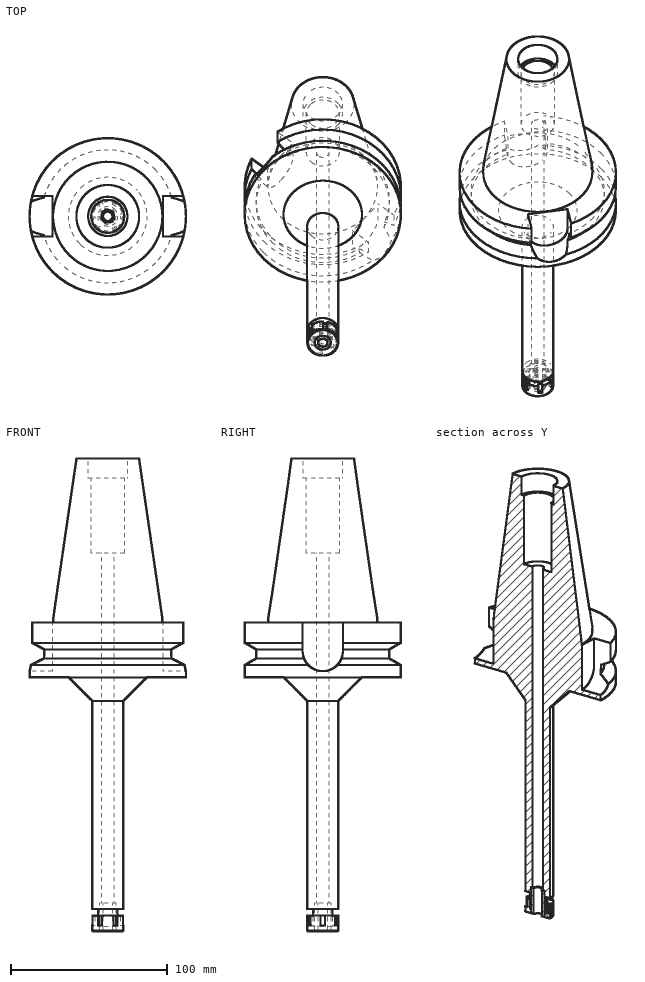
import cadquery as cq
import math


total_length = 301.8

gauge_diameter = 69.7
gauge_radius = gauge_diameter / 2
taper_length = 101.7
taper_rate = 7 / 24
taper_top_radius = gauge_radius - taper_length * taper_rate / 2
flange_diameter = 100.0
flange_radius = flange_diameter / 2
flange_top_z = -3.0
flange_bottom_z = -38.0

groove_floor_radius = 42.5
groove_flank_angle = 30
groove_depth = flange_radius - groove_floor_radius
groove_flank_height = groove_depth * math.tan(math.radians(groove_flank_angle))
groove_top_z = -16.0
groove_bottom_z = -30.2

slot_width = 25.7
slot_end_z = -34.0
slot_face_distance = 35.3

shank_radius = 10.0
shank_end_z = -186.0
cone_top_radius = 25.0
cone_bottom_z = flange_bottom_z - (cone_top_radius - shank_radius)
nose_radius = 6.3

counterbore_diameter = 25.0
counterbore_radius = counterbore_diameter / 2
counterbore_depth = 12.7
bore_radius = 10.5
bore_depth = 60.5
through_diameter = 8.0
through_radius = through_diameter / 2

nut_radius = shank_radius
nut_top_z = -190.0
nut_bottom_z = taper_length - total_length
nut_chamfer = 0.5
nut_slot_count = 6
nut_slot_width = 2.7
nut_slot_length = 6.3
nut_slot_depth = 1.8
nut_lip_height = 3.0
nose_end_z = nut_bottom_z + nut_lip_height

collet_radius = 5.0
collet_length = 18.0
collet_bore_radius = 3.0
collet_top_z = nut_bottom_z + collet_length


def cylinder(radius, bottom_z, top_z):
    """Solid cylinder on the Z axis between two heights."""
    return cq.Workplane("XY").workplane(offset=bottom_z).circle(radius).extrude(top_z - bottom_z)


def make_holder_blank():
    """Turned outline of the taper, flange, cone, shank and nose."""
    outline = [
        (0, taper_length),
        (taper_top_radius, taper_length),
        (gauge_radius, 0),
        (gauge_radius, flange_top_z),
        (flange_radius, flange_top_z),
        (flange_radius, groove_top_z),
        (groove_floor_radius, groove_top_z - groove_flank_height),
        (groove_floor_radius, groove_bottom_z + groove_flank_height),
        (flange_radius, groove_bottom_z),
        (flange_radius, flange_bottom_z),
        (cone_top_radius, flange_bottom_z),
        (shank_radius, cone_bottom_z),
        (shank_radius, shank_end_z),
        (nose_radius, shank_end_z),
        (nose_radius, nose_end_z),
        (0, nose_end_z),
    ]
    return cq.Workplane("XZ").polyline(outline).close().revolve(360, (0, 0), (0, 1))


def make_drive_slot(side):
    """Round-ended slot cutter on the +X (side = 1) or -X (side = -1) edge of the flange."""
    half_width = slot_width / 2
    arc_z = slot_end_z + half_width
    return (
        cq.Workplane("YZ")
        .workplane(offset=side * slot_face_distance)
        .moveTo(-half_width, flange_top_z)
        .lineTo(-half_width, arc_z)
        .threePointArc((0, slot_end_z), (half_width, arc_z))
        .lineTo(half_width, flange_top_z)
        .close()
        .extrude(side * flange_radius)
    )


def make_holder():
    """Tool holder with its drive slots, stepped pull stud bore and collet seat."""
    holder = make_holder_blank()
    for side in (-1, 1):
        holder = holder.cut(make_drive_slot(side))
    holder = holder.cut(cylinder(counterbore_radius, taper_length - counterbore_depth, taper_length))
    holder = holder.cut(cylinder(bore_radius, taper_length - bore_depth, taper_length))
    holder = holder.cut(cylinder(through_radius, nose_end_z, taper_length))
    return holder.cut(cylinder(collet_radius, nose_end_z, collet_top_z))


def make_nut():
    """Clamping nut around the nose, with wrench slots open to its top face."""
    nut = cylinder(nut_radius, nut_bottom_z, nut_top_z).faces("<Z").edges().chamfer(nut_chamfer)
    nut = nut.cut(cylinder(nose_radius, nose_end_z, nut_top_z))
    nut = nut.cut(cylinder(collet_radius, nut_bottom_z, nose_end_z))
    slot = cq.Workplane("XY").box(2 * nut_slot_depth, nut_slot_width, nut_slot_length)
    slot = slot.translate((nut_radius, 0, nut_top_z - nut_slot_length / 2))
    for index in range(nut_slot_count):
        nut = nut.cut(slot.rotate((0, 0, 0), (0, 0, 1), index * 360 / nut_slot_count))
    return nut


def make_collet():
    """Plain sleeve that grips the tool."""
    collet = cylinder(collet_radius, nut_bottom_z, collet_top_z)
    return collet.cut(cylinder(collet_bore_radius, nut_bottom_z, collet_top_z))


holder = make_holder()
nut = make_nut()
collet = make_collet()

result = cq.Compound.makeCompound([holder.val(), nut.val(), collet.val()])